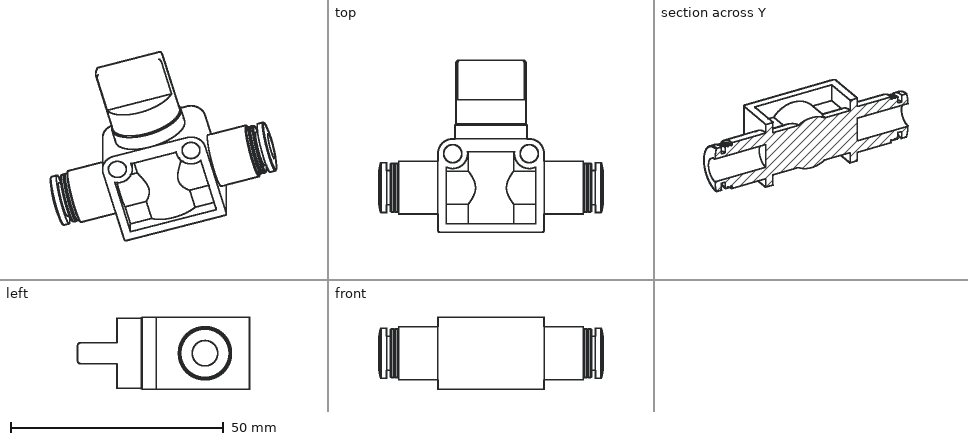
import cadquery as cq


body_width = 25.0
body_length = 22.0
body_height = 17.0
body_front = -10.5
body_back = body_front + body_length
front_corner_radius = 0.5
mount_radius = 3.5
mount_hole_dia = 4.2
mount_x = body_width / 2 - mount_radius
mount_y = body_back - mount_radius

side_wall = 2.0
back_wall = 3.0
web_thickness = body_height / 2
pocket_width = body_width - 2 * side_wall
pocket_length = body_length - side_wall - back_wall
pocket_depth = (body_height - web_thickness) / 2
pocket_center_y = body_front + side_wall + pocket_length / 2

barrel_dia = 13.6
passage_dia = 11.5

collar_dia = 17.0
collar_length = 3.5
collar_bevel_length = 0.3
knob_dia = 16.5
handle_thickness = 5.0
handle_length = 9.3
handle_tip_fillet = 0.8
knob_end = 30.0
handle_start = knob_end - handle_length

overall_width = 52.7
port_end = overall_width / 2
port_length = port_end - body_width / 2
port_dia = 12.5
port_bore_dia = 6.0
port_bore_depth = port_length
release_dia = 11.8
release_bevel_dia = 11.4
release_neck_dia = 8.1
release_face_depth = 0.3
release_rim_depth = 0.5
release_length = 1.8
neck_end = 2.7
ridge_count = 2
ridge_dia = 11.5
ridge_root_dia = 11.1
ridge_ramp = 0.3
ridge_crest = 0.5
ridge_gap = 0.15
ridge_pitch = ridge_ramp + ridge_crest + ridge_gap


def make_housing():
    housing = cq.Workplane("XY").box(body_width, body_length, body_height)
    housing = housing.translate((0, body_front + body_length / 2, 0))
    housing = housing.edges("|Z and >Y").fillet(mount_radius)
    return housing.edges("|Z and <Y").fillet(front_corner_radius)


def mount_cylinders(diameter):
    """Full-height cylinders on the two mounting-hole axes."""
    plane = cq.Workplane("XY").workplane(offset=-body_height / 2)
    points = [(-mount_x, mount_y), (mount_x, mount_y)]
    return plane.pushPoints(points).circle(diameter / 2).extrude(body_height)


def make_pockets():
    """Pockets open at the top and bottom, separated by the central web."""
    pocket = cq.Workplane("XY").box(pocket_width, pocket_length, pocket_depth)
    offset_z = (web_thickness + pocket_depth) / 2
    upper = pocket.translate((0, pocket_center_y, offset_z))
    lower = pocket.translate((0, pocket_center_y, -offset_z))
    return upper.union(lower)


def make_core():
    """Valve barrel along Y crossed by the flow passage along X."""
    barrel = cq.Workplane("XZ").workplane(offset=-body_front - side_wall)
    barrel = barrel.circle(barrel_dia / 2).extrude(-pocket_length)
    passage = cq.Workplane("YZ").circle(passage_dia / 2).extrude(pocket_width / 2, both=True)
    return barrel.union(passage)


def make_knob():
    """Collar, round grip and flat handle, turned about the Y axis."""
    collar_end = body_back + collar_length
    collar = (
        cq.Workplane("XY")
        .moveTo(0, body_back)
        .lineTo(collar_dia / 2, body_back)
        .lineTo(collar_dia / 2, collar_end - collar_bevel_length)
        .lineTo(knob_dia / 2, collar_end)
        .lineTo(0, collar_end)
        .close()
        .revolve(360, (0, 0), (0, 1))
    )
    grip = cq.Workplane("XZ", origin=(0, collar_end, 0)).circle(knob_dia / 2)
    grip = grip.extrude(collar_end - handle_start)
    handle = cq.Workplane("XZ", origin=(0, handle_start, 0)).circle(knob_dia / 2)
    handle = handle.extrude(-handle_length)
    flats = cq.Workplane("XY").box(knob_dia, 2 * knob_end, handle_thickness)
    handle = handle.intersect(flats).faces(">Y").edges().fillet(handle_tip_fillet)
    return collar.union(grip).union(handle)


def make_port():
    """Port on the +X side, turned about the X axis, with a blind bore."""
    outline = [
        (0, 0),
        (0, release_neck_dia),
        (release_face_depth, release_bevel_dia),
        (release_rim_depth, release_dia),
        (release_length, release_dia),
        (release_length, release_neck_dia),
        (neck_end, release_neck_dia),
    ]
    for index in range(ridge_count):
        start = neck_end + index * ridge_pitch
        crest_start = start + ridge_ramp
        crest_end = crest_start + ridge_crest
        outline += [
            (start, ridge_root_dia),
            (crest_start, ridge_dia),
            (crest_end, ridge_dia),
            (crest_end, ridge_root_dia),
        ]
    sleeve_start = neck_end + ridge_count * ridge_pitch
    outline += [
        (sleeve_start, ridge_root_dia),
        (sleeve_start, port_dia),
        (port_length, port_dia),
        (port_length, 0),
    ]
    points = [(port_end - depth, diameter / 2) for depth, diameter in outline]
    port = cq.Workplane("XY").polyline(points).close().revolve(360, (0, 0), (1, 0))
    bore = cq.Workplane("YZ", origin=(port_end, 0, 0)).circle(port_bore_dia / 2)
    return port.cut(bore.extrude(-port_bore_depth))


housing = make_housing()
pockets = make_pockets().cut(mount_cylinders(2 * mount_radius))
housing = housing.cut(pockets).union(make_core()).cut(mount_cylinders(mount_hole_dia))
port = make_port()
result = housing.union(make_knob()).union(port).union(port.mirror("YZ"))